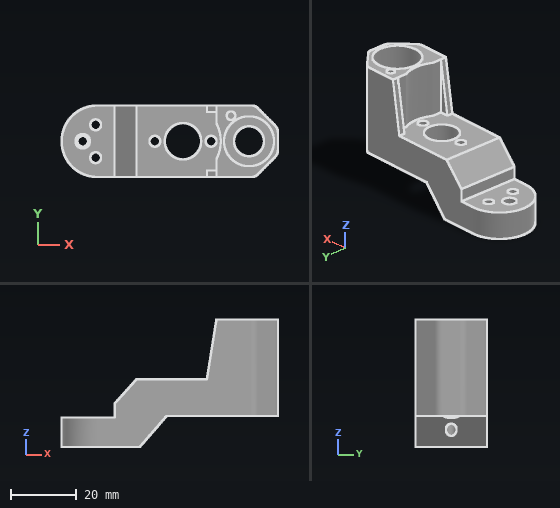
import cadquery as cq

length = 65.7
width = 21.8
height = 38.8
half_width = width / 2

foot_top = 9.05
step_x = 16.1
step_top = 13.3
deck_start_x = 22.8
deck_z = 20.7
tower_base_x = 44.1
tower_top_x = 47.0
underside_z = 9.45
underside_start_x = 23.7
underside_end_x = 31.9

corner_chamfer = 6.95
corner_radius = 2.9
cheek_thickness = 2.1
scoop_radius = 11.5
scoop_edge_radius = 1.3

edge_margin = 0.3

screw_diameter = 3.2
foot_pin_x = 6.45
foot_pin_counterbore = 4.4
foot_counterbore_floor = foot_top / 2
foot_screw_x = 10.4
foot_screw_y = 5.0
deck_bore_x = 36.85
deck_bore_diameter = 11.0
deck_screw_offset = 8.55
tower_bore_x = 56.9
tower_bore_diameter = 15.2
tower_bore_floor = deck_z
tower_through_diameter = 9.0
pin_x = 51.45
pin_y = 7.75
pin_diameter = 2.6
pin_depth = 7.9


def vertical_cylinder(x, y, diameter, bottom, top):
    """Upright cylinder between two heights."""
    return (
        cq.Workplane("XY", origin=(x, y, bottom))
        .circle(diameter / 2)
        .extrude(top - bottom)
    )


def stepped_body():
    """Side profile extruded across the full width."""
    return (
        cq.Workplane("XZ")
        .polyline([
            (0, 0),
            (underside_start_x, 0),
            (underside_end_x, underside_z),
            (length, underside_z),
            (length, height),
            (tower_top_x, height),
            (tower_base_x, deck_z),
            (deck_start_x, deck_z),
            (step_x, step_top),
            (step_x, foot_top),
            (0, foot_top),
        ])
        .close()
        .extrude(half_width, both=True)
    )


def plan_envelope():
    """Plan outline with a round foot end and two blended tower corners."""
    chamfer_x = length - corner_chamfer
    chamfer_y = half_width - corner_chamfer
    outline = (
        cq.Workplane("XY")
        .moveTo(half_width, -half_width)
        .lineTo(chamfer_x, -half_width)
        .lineTo(length, -chamfer_y)
        .lineTo(length, chamfer_y)
        .lineTo(chamfer_x, half_width)
        .lineTo(half_width, half_width)
        .threePointArc((0, 0), (half_width, -half_width))
        .close()
        .extrude(height)
    )
    tower_corners = cq.selectors.BoxSelector(
        (chamfer_x - edge_margin, -width, 0), (length + edge_margin, width, height)
    )
    return outline.edges("|Z").edges(tower_corners).fillet(corner_radius)


def tower_recess():
    """Pocket between the sloped cheeks, with a scoop around the deck bore."""
    recess_height = height - deck_z
    slot_length = tower_top_x - deck_bore_x
    slot = cq.Workplane("XY", origin=(deck_bore_x, 0, deck_z)).box(
        slot_length, width - 2 * cheek_thickness, recess_height,
        centered=(False, True, False),
    )
    scoop = vertical_cylinder(deck_bore_x, 0, 2 * scoop_radius, deck_z, height)
    scoop_limit = cq.Workplane("XY", origin=(deck_bore_x, 0, deck_z)).box(
        scoop_radius, width - 2 * cheek_thickness, recess_height,
        centered=(False, True, False),
    )
    recess = slot.union(scoop.intersect(scoop_limit))
    scoop_edges = cq.selectors.BoxSelector(
        (tower_top_x - edge_margin, -scoop_radius / 2 - edge_margin, deck_z),
        (tower_top_x + edge_margin, scoop_radius / 2 + edge_margin, height),
    )
    return recess.edges("|Z").edges(scoop_edges).fillet(scoop_edge_radius)


body = stepped_body().intersect(plan_envelope()).cut(tower_recess())

for side in (-1, 1):
    body = body.cut(
        vertical_cylinder(foot_screw_x, side * foot_screw_y, screw_diameter, 0, foot_top)
    )
body = body.cut(vertical_cylinder(foot_pin_x, 0, screw_diameter, 0, foot_top))
body = body.cut(
    vertical_cylinder(foot_pin_x, 0, foot_pin_counterbore, foot_counterbore_floor, foot_top)
)

body = body.cut(vertical_cylinder(deck_bore_x, 0, deck_bore_diameter, 0, deck_z))
for side in (-1, 1):
    screw_x = deck_bore_x + side * deck_screw_offset
    body = body.cut(vertical_cylinder(screw_x, 0, screw_diameter, 0, deck_z))

body = body.cut(vertical_cylinder(tower_bore_x, 0, tower_through_diameter, 0, height))
body = body.cut(vertical_cylinder(tower_bore_x, 0, tower_bore_diameter, tower_bore_floor, height))
body = body.cut(vertical_cylinder(pin_x, pin_y, pin_diameter, height - pin_depth, height))

result = body